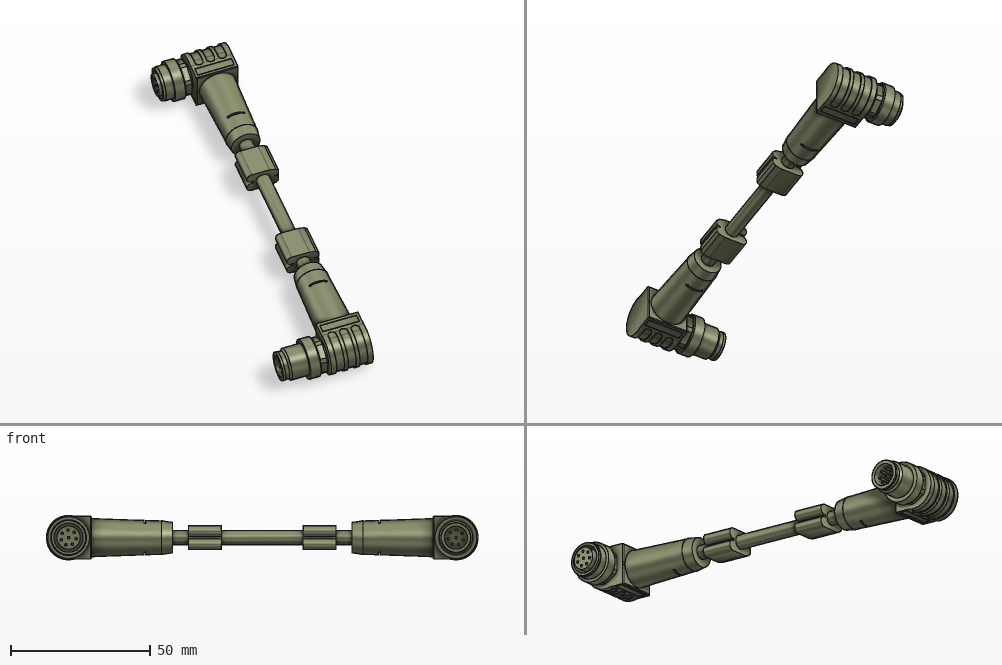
import cadquery as cq
import math


overall_length = 155.14
overall_depth = 33.5
grip_radius = 7.985
head_half = 8.0
plug_axis_x = overall_length / 2 - grip_radius

panel_radius = 7.5
panel_gap = 3.05
rib_width = 1.4
panel_end_reach = 2.6
panel_end_radius = 1.3
block_end_x = 8.25
block_half_height = 7.7
block_edge_chamfer = 0.35
label_start_x = 3.8
label_end_x = 6.8
label_length = 14.0
label_depth = 0.25
panel_count = 3

sleeve_root_radius = 6.92
sleeve_tip_radius = 6.05
collar_start_x = 33.3
collar_radius = 12.3 / 2
collar_end_x = 37.4
collar_end_radius = 5.5
mark_x = 27.4
mark_width = 0.6
mark_floor = 5.25
mark_cut_height = 2.0

cable_radius = 5.2 / 2
cable_overlap = 1.0
clip_offset_x = 20.6
clip_length = 11.9
clip_half_height = 4.3
clip_lobe_center_y = -4.2
clip_lobe_radius = 1.95
clip_front_notch_y = -3.6
clip_flat_end_y = 2.6
clip_bevel_y = 5.0
clip_bevel_z = 3.7
clip_back_y = 6.1
clip_back_z = 2.7
clip_notch_half = 0.6
clip_notch_y = 4.6

neck_radius = 9.3 / 2
hex_start = 9.0
hex_across_flats = 12.3
hex_corner_radius = 13.3 / 2
ring_start = 11.5
ring_end = 15.7
ring_radius = 15.0 / 2
ring_chamfer = 0.4

socket_end = 19.8
socket_radius = 12.8 / 2
socket_rim_start = 18.85
socket_rim_radius = 12.3 / 2
socket_bore_radius = 10.5 / 2
socket_bore_floor = 13.0
insert_radius = 8.3 / 2
insert_end = 20.8
contact_hole_radius = 0.9 / 2
contact_hole_depth = 5.0

plug_end = overall_depth - head_half
thread_radius = 12.0 / 2
thread_end = 22.3
nose_start = 23.1
nose_radius = 10.5 / 2
lip_start = 24.6
lip_radius = 10.8 / 2
plug_bore_radius = 8.3 / 2
plug_bore_floor = 16.5
pin_radius = 0.8 / 2
pin_end = 24.4

contact_circle_radius = 5.5 / 2
outer_contact_count = 7
first_contact_angle = -8.0


def cylinder_toward_plug(radius, start, end):
    """Cylinder on the plug axis between two distances from the cable axis."""
    plane = cq.Workplane("XZ", origin=(0, -start, 0))
    return plane.circle(radius).extrude(end - start)


def revolve_on_plug_axis(points):
    """Solid of revolution from (radius, distance toward -Y) points."""
    outline = [(radius, -distance) for radius, distance in points]
    return cq.Workplane("XY").polyline(outline).close().revolve(360, (0, 0), (0, 1))


def revolve_on_cable_axis(points):
    """Solid of revolution from (x, radius) points."""
    return cq.Workplane("XY").polyline(points).close().revolve(360, (0, 0), (1, 0))


def grip_panel(center_y):
    """Recess that wraps around the round back and ends in a rounded tip above and below."""
    straight = panel_end_reach - panel_end_radius
    beyond_back = -2 * grip_radius
    window = (
        cq.Workplane("XY")
        .moveTo(beyond_back, center_y - panel_gap / 2)
        .lineTo(straight, center_y - panel_gap / 2)
        .threePointArc((panel_end_reach, center_y), (straight, center_y + panel_gap / 2))
        .lineTo(beyond_back, center_y + panel_gap / 2)
        .close()
        .extrude(grip_radius, both=True)
    )
    core = cylinder_toward_plug(panel_radius, -head_half, head_half)
    core_tail = cq.Workplane("XY").box(
        panel_end_reach, 2 * head_half, 2 * panel_radius, centered=(False, True, True)
    )
    return window.cut(core).cut(core_tail)


def head():
    back = cylinder_toward_plug(grip_radius, -head_half, head_half)
    block = cq.Workplane("XY").box(
        block_end_x, 2 * head_half, 2 * block_half_height, centered=(False, True, True)
    )
    block = block.faces(">X").edges().chamfer(block_edge_chamfer)
    body = back.union(block)
    pitch = panel_gap + rib_width
    for index in range(panel_count):
        body = body.cut(grip_panel((index - (panel_count - 1) / 2) * pitch))
    label_center = (label_start_x + label_end_x) / 2
    for side in (1, -1):
        label = cq.Workplane("XY").box(label_end_x - label_start_x, label_length, 2 * label_depth)
        body = body.cut(label.translate((label_center, 0, side * block_half_height)))
    return body


def sleeve():
    body = revolve_on_cable_axis(
        [
            (0, 0),
            (0, sleeve_root_radius),
            (block_end_x, sleeve_root_radius),
            (collar_start_x, sleeve_tip_radius),
            (collar_start_x, collar_radius),
            (collar_end_x, collar_end_radius),
            (collar_end_x, 0),
        ]
    )
    for side in (1, -1):
        mark = cq.Workplane("XY").box(mark_width, 2 * grip_radius, mark_cut_height)
        body = body.cut(mark.translate((mark_x, 0, side * (mark_floor + mark_cut_height / 2))))
    return body


def coupling_nut():
    neck = cylinder_toward_plug(neck_radius, 0, hex_start)
    hexagon = (
        cq.Workplane("XZ", origin=(0, -hex_start, 0))
        .transformed(rotate=(0, 0, 90))
        .polygon(6, hex_across_flats / math.cos(math.pi / 6))
        .extrude(ring_start - hex_start)
        .intersect(cylinder_toward_plug(hex_corner_radius, hex_start, ring_start))
    )
    ring = cylinder_toward_plug(ring_radius, ring_start, ring_end)
    ring = ring.faces(">Y").edges().chamfer(ring_chamfer)
    return neck.union(hexagon).union(ring)


def contact_positions():
    step = 2 * math.pi / outer_contact_count
    start = math.radians(first_contact_angle)
    angles = [start + index * step for index in range(outer_contact_count)]
    circle = [
        (contact_circle_radius * math.cos(angle), contact_circle_radius * math.sin(angle))
        for angle in angles
    ]
    return [(0, 0)] + circle


def contacts(radius, start, end):
    plane = cq.Workplane("XZ", origin=(0, -start, 0))
    return plane.pushPoints(contact_positions()).circle(radius).extrude(end - start)


def elbow():
    return head().union(sleeve()).union(coupling_nut())


def socket_connector():
    shell = cylinder_toward_plug(socket_radius, ring_start, socket_rim_start)
    rim = cylinder_toward_plug(socket_rim_radius, ring_start, socket_end)
    bore = cylinder_toward_plug(socket_bore_radius, socket_bore_floor, socket_end)
    insert = cylinder_toward_plug(insert_radius, socket_bore_floor, insert_end)
    holes = contacts(contact_hole_radius, insert_end - contact_hole_depth, insert_end)
    return elbow().union(shell).union(rim).cut(bore).union(insert).cut(holes)


def pin_connector():
    shell = revolve_on_plug_axis(
        [
            (0, ring_start),
            (thread_radius, ring_start),
            (thread_radius, thread_end),
            (nose_radius, nose_start),
            (nose_radius, lip_start),
            (lip_radius, lip_start),
            (lip_radius, plug_end),
            (0, plug_end),
        ]
    )
    bore = cylinder_toward_plug(plug_bore_radius, plug_bore_floor, plug_end)
    pins = contacts(pin_radius, plug_bore_floor, pin_end)
    return elbow().union(shell).cut(bore).union(pins)


def clip():
    """Cable clip with two round lobes toward -Y and a notched, bevelled back."""
    lobe_z = clip_half_height - clip_lobe_radius
    lobe_front_y = clip_lobe_center_y - clip_lobe_radius
    lobe_inner_z = lobe_z - clip_lobe_radius
    return (
        cq.Workplane("YZ")
        .moveTo(clip_flat_end_y, clip_half_height)
        .lineTo(clip_lobe_center_y, clip_half_height)
        .threePointArc((lobe_front_y, lobe_z), (clip_lobe_center_y, lobe_inner_z))
        .lineTo(clip_front_notch_y, lobe_inner_z)
        .lineTo(clip_front_notch_y, -lobe_inner_z)
        .lineTo(clip_lobe_center_y, -lobe_inner_z)
        .threePointArc((lobe_front_y, -lobe_z), (clip_lobe_center_y, -clip_half_height))
        .lineTo(clip_flat_end_y, -clip_half_height)
        .lineTo(clip_bevel_y, -clip_bevel_z)
        .lineTo(clip_back_y, -clip_back_z)
        .lineTo(clip_back_y, -clip_notch_half)
        .lineTo(clip_notch_y, 0)
        .lineTo(clip_back_y, clip_notch_half)
        .lineTo(clip_back_y, clip_back_z)
        .lineTo(clip_bevel_y, clip_bevel_z)
        .close()
        .extrude(clip_length / 2, both=True)
    )


cable_half_length = plug_axis_x - collar_end_x + cable_overlap
cable = cq.Workplane("YZ").circle(cable_radius).extrude(cable_half_length, both=True)

result = (
    cable.union(clip().translate((-clip_offset_x, 0, 0)))
    .union(clip().translate((clip_offset_x, 0, 0)))
    .union(socket_connector().translate((-plug_axis_x, 0, 0)))
    .union(pin_connector().mirror("YZ").translate((plug_axis_x, 0, 0)))
)